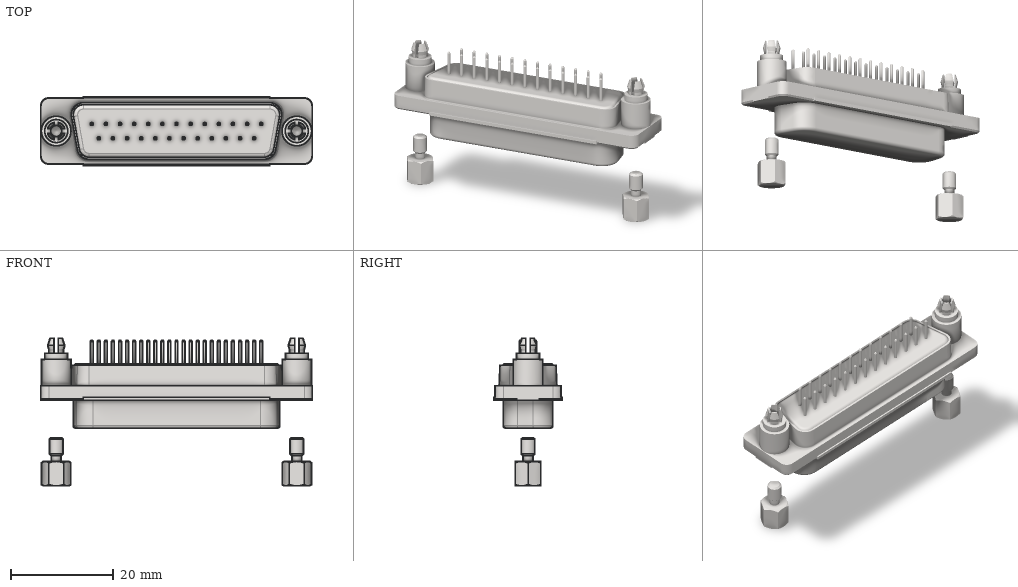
import cadquery as cq
import math

FLANGE_LENGTH = 53.1
FLANGE_WIDTH = 12.95
FLANGE_THICKNESS = 2.85
FLANGE_CORNER_RADIUS = 1.6
FLANGE_BEVEL = 0.3
END_LAND_WIDTH = 4.35

TAB_LENGTH = 36.4
TAB_SPAN = 13.5
TAB_HEIGHT = 0.65

D_SLANT = 10.0

SKIRT_HALF_LENGTH = 20.0
SKIRT_WIDTH = 9.75
SKIRT_CORNER_RADIUS = 3.35
SKIRT_DEPTH = 5.45
SKIRT_LIP_RADIUS = 0.65

REAR_HALF_LENGTH = 20.2
REAR_WIDTH = 11.3
REAR_CORNER_RADIUS = 2.45
REAR_TOP = 6.9
REAR_DRAFT = 2.0
REAR_ROOT_RADIUS = 0.2

INSULATOR_INSET = 0.55
INSULATOR_TOP = 7.15
INSULATOR_EDGE_RADIUS = 0.8

PIN_DIAMETER = 0.6
PIN_TOP = 11.75
PIN_PITCH = 2.75
PIN_ROWS = ((13, 1.4), (12, -1.45))
PIN_TIP_INSET = 0.15
PIN_TIP_HEIGHT = 0.25

POST_SPACING = 47.05
POST_DIAMETER = 5.8
POST_TOP = 8.0
COLLAR_DIAMETER = 4.5
COLLAR_TOP = 9.25

CLIP_STEM_DIAMETER = 3.0
CLIP_BARB_DIAMETER = 3.45
CLIP_TIP_DIAMETER = 2.55
CLIP_BARB_START = 9.95
CLIP_BARB_WIDEST = 10.7
CLIP_TOP = 12.15
CLIP_SLOT_WIDTH = 0.8
CLIP_BORE_DIAMETER = 2.2
DRILL_POINT_ANGLE = 118.0

OVERALL_HEIGHT = 28.9
SCREW_BOTTOM = CLIP_TOP - OVERALL_HEIGHT
HEX_ACROSS_FLATS = 5.0
HEX_TOP = -11.95
HEX_CHAMFER_HEIGHT = 0.25
NECK_DIAMETER = 1.95
NECK_TOP = -10.85
THREAD_DIAMETER = 2.7
THREAD_BOTTOM = -10.45
THREAD_TOP = -7.25
THREAD_TIP_HEIGHT = 0.3


def d_outline(half_length, width, corner_radius, inset=0.0):
    """Rounded D-shape sketch, wide side at +Y, moved inward by inset."""
    slant = math.radians(D_SLANT)
    half_width = width / 2 - inset
    half_mid = half_length - inset / math.cos(slant)
    shift = half_width * math.tan(slant)
    wide = half_mid + shift
    narrow = half_mid - shift
    corners = [(-narrow, -half_width), (narrow, -half_width), (wide, half_width), (-wide, half_width)]
    return cq.Sketch().polygon(corners + corners[:1]).vertices().fillet(corner_radius - inset)


def make_flange():
    flange = (
        cq.Workplane("XY")
        .box(FLANGE_LENGTH, FLANGE_WIDTH, FLANGE_THICKNESS, centered=(True, True, False))
        .edges("|Z").fillet(FLANGE_CORNER_RADIUS)
        .faces("<Z").edges().chamfer(FLANGE_BEVEL)
    )
    end_lands = cq.Workplane("XY").box(
        FLANGE_LENGTH, END_LAND_WIDTH, FLANGE_THICKNESS, centered=(True, True, False))
    tabs = cq.Workplane("XY").box(TAB_LENGTH, TAB_SPAN, TAB_HEIGHT, centered=(True, True, False))
    return flange.union(end_lands).union(tabs)


def make_skirt():
    outline = d_outline(SKIRT_HALF_LENGTH, SKIRT_WIDTH, SKIRT_CORNER_RADIUS)
    return (
        cq.Workplane("XY").placeSketch(outline).extrude(-SKIRT_DEPTH)
        .faces("<Z").edges().fillet(SKIRT_LIP_RADIUS)
    )


def add_rear_shell(flange):
    """Drafted D-shaped wall with a rounded root on the flange."""
    outline = d_outline(REAR_HALF_LENGTH, REAR_WIDTH, REAR_CORNER_RADIUS)
    wall = (
        cq.Workplane("XY", origin=(0, 0, FLANGE_THICKNESS))
        .placeSketch(outline).extrude(REAR_TOP - FLANGE_THICKNESS, taper=REAR_DRAFT)
    )
    root_zone = cq.selectors.BoxSelector(
        (-REAR_HALF_LENGTH - REAR_CORNER_RADIUS, -REAR_WIDTH / 2 - REAR_ROOT_RADIUS, FLANGE_THICKNESS - 0.05),
        (REAR_HALF_LENGTH + REAR_CORNER_RADIUS, REAR_WIDTH / 2 + REAR_ROOT_RADIUS, FLANGE_THICKNESS + 0.05),
    )
    return flange.union(wall).edges(root_zone).fillet(REAR_ROOT_RADIUS)


def insulator_block(top):
    outline = d_outline(REAR_HALF_LENGTH, REAR_WIDTH, REAR_CORNER_RADIUS, INSULATOR_INSET)
    return (
        cq.Workplane("XY", origin=(0, 0, FLANGE_THICKNESS))
        .placeSketch(outline).extrude(top - FLANGE_THICKNESS)
    )


def add_insulator(body):
    """Insulator with a rounded edge that rises out of the rear shell."""
    cavity = insulator_block(REAR_TOP)
    insulator = insulator_block(INSULATOR_TOP).faces(">Z").edges().fillet(INSULATOR_EDGE_RADIUS)
    return body.cut(cavity).union(insulator)


def make_pin(x, y):
    return (
        cq.Workplane("XY", origin=(x, y, FLANGE_THICKNESS))
        .circle(PIN_DIAMETER / 2).extrude(PIN_TOP - FLANGE_THICKNESS)
        .faces(">Z").edges().chamfer(PIN_TIP_HEIGHT, PIN_TIP_INSET)
    )


def make_post(x):
    """Round post with a collar and a split, barbed board clip on top."""
    profile = [
        (0, 0),
        (POST_DIAMETER / 2, 0),
        (POST_DIAMETER / 2, POST_TOP),
        (COLLAR_DIAMETER / 2, POST_TOP),
        (COLLAR_DIAMETER / 2, COLLAR_TOP),
        (CLIP_STEM_DIAMETER / 2, COLLAR_TOP),
        (CLIP_STEM_DIAMETER / 2, CLIP_BARB_START),
        (CLIP_BARB_DIAMETER / 2, CLIP_BARB_WIDEST),
        (CLIP_TIP_DIAMETER / 2, CLIP_TOP),
        (0, CLIP_TOP),
    ]
    post = cq.Workplane("XZ").polyline(profile).close().revolve(360, (0, 0, 0), (0, 1, 0))

    bore_radius = CLIP_BORE_DIAMETER / 2
    point_depth = bore_radius / math.tan(math.radians(DRILL_POINT_ANGLE / 2))
    bore_profile = [
        (0, COLLAR_TOP - point_depth),
        (bore_radius, COLLAR_TOP),
        (bore_radius, CLIP_TOP),
        (0, CLIP_TOP),
    ]
    bore = cq.Workplane("XZ").polyline(bore_profile).close().revolve(360, (0, 0, 0), (0, 1, 0))
    post = post.cut(bore)

    for angle in (0, 90):
        slot = (
            cq.Workplane("XY", origin=(0, 0, COLLAR_TOP))
            .box(CLIP_BARB_DIAMETER, CLIP_SLOT_WIDTH, CLIP_TOP - COLLAR_TOP, centered=(True, True, False))
            .rotate((0, 0, 0), (0, 0, 1), angle)
        )
        post = post.cut(slot)
    return post.translate((x, 0, 0))


def make_connector():
    connector = add_rear_shell(make_flange())
    connector = add_insulator(connector).union(make_skirt())
    for count, row_y in PIN_ROWS:
        for index in range(count):
            pin_x = (index - (count - 1) / 2) * PIN_PITCH
            connector = connector.union(make_pin(pin_x, row_y))
    for side in (-1, 1):
        connector = connector.union(make_post(side * POST_SPACING / 2))
    return connector


def make_jackscrew(x):
    """Hexagonal standoff with a necked, chamfered stud on top."""
    corner_radius = HEX_ACROSS_FLATS / 2 / math.cos(math.pi / 6)
    hexagon = (
        cq.Workplane("XY", origin=(0, 0, SCREW_BOTTOM))
        .polygon(6, 2 * corner_radius).extrude(HEX_TOP - SCREW_BOTTOM)
    )
    chamfered_round = (
        cq.Workplane("XY", origin=(0, 0, SCREW_BOTTOM))
        .circle(corner_radius).extrude(HEX_TOP - SCREW_BOTTOM)
        .faces("<Z or >Z").edges().chamfer(HEX_CHAMFER_HEIGHT, corner_radius - HEX_ACROSS_FLATS / 2)
    )
    stud_profile = [
        (0, HEX_TOP),
        (NECK_DIAMETER / 2, HEX_TOP),
        (NECK_DIAMETER / 2, NECK_TOP),
        (THREAD_DIAMETER / 2, THREAD_BOTTOM),
        (THREAD_DIAMETER / 2, THREAD_TOP - THREAD_TIP_HEIGHT),
        (NECK_DIAMETER / 2, THREAD_TOP),
        (0, THREAD_TOP),
    ]
    stud = cq.Workplane("XZ").polyline(stud_profile).close().revolve(360, (0, 0, 0), (0, 1, 0))
    return hexagon.intersect(chamfered_round).union(stud).translate((x, 0, 0))


connector = make_connector()
jackscrews = [make_jackscrew(side * POST_SPACING / 2) for side in (-1, 1)]

result = cq.Compound.makeCompound([connector.val(), *[screw.val() for screw in jackscrews]])